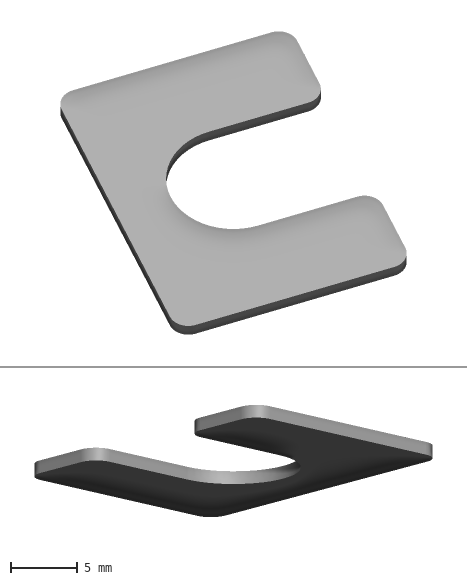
import cadquery as cq

width = 25.4
depth = 19.05
thickness = 1.0
corner_radius = 1.5

slot_width = 10.15
slot_radius = slot_width / 2

half_width = width / 2
half_depth = depth / 2

outline = (
    cq.Workplane("XY")
    .workplane(offset=-thickness / 2)
    .moveTo(-half_width, -half_depth)
    .lineTo(half_width, -half_depth)
    .lineTo(half_width, half_depth)
    .lineTo(slot_radius, half_depth)
    .lineTo(slot_radius, 0)
    .threePointArc((0, -slot_radius), (-slot_radius, 0))
    .lineTo(-slot_radius, half_depth)
    .lineTo(-half_width, half_depth)
    .close()
)
plate = outline.extrude(thickness)

front_corners = plate.faces("<Y").edges("|Z")
tip_corners = plate.faces(">Y").edges("|Z")
result = front_corners.add(tip_corners).fillet(corner_radius)